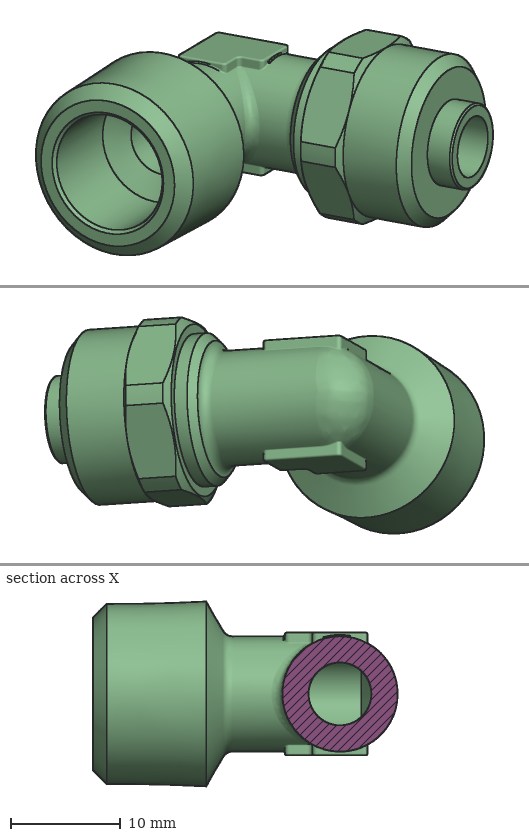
import cadquery as cq
import math

overall_length = 33.93
thread_big_diameter = 16.85

arm_radius = 5.25
outer_elbow_radius = 4.0
inner_elbow_radius = 1.0
neck_radius = 1.0
mitre_core_height = 4.92

thread_end = 22.5
thread_start = 12.18
thread_big_radius = thread_big_diameter / 2
thread_small_radius = 8.2
thread_chamfer = 1.25
shoulder_angle = math.radians(60)

collar_radius = 7.0
collar_start = 9.98
collar_chamfer = 0.75
nut_start = 11.95
nut_end = 16.45
nut_half_flats = 8.0
nut_corner_radius = 8.75
nut_face_radius = 7.87
nut_chamfer_angle = math.radians(30)
sleeve_end = 23.0
sleeve_chamfer = 1.02
stub_radius = 4.0
stub_end = overall_length - thread_big_radius
stub_chamfer = 0.17

mouth_radius = 5.5
mouth_chamfer = 0.3
run_bore_radius = 3.25
tube_bore_radius = 2.85
drill_tip = 3.8
drill_half_angle = math.radians(60)
mouth_floor = -13.57

pad_top = 5.6
pad_root = 3.4
pad_back = 2.5
pad_front = 5.02
pad_corner_radius = 0.4
pad_edge_radius = 0.185
pad_joint_radius = 0.15


def turned_about_x(outline):
    """Close an (x, radius) outline and turn it about the X axis."""
    return outline.close().revolve(360, (0, 0, 0), (1, 0, 0))


def turned_about_y(outline):
    """Close a (radius, y) outline and turn it about the Y axis."""
    return outline.close().revolve(360, (0, 0, 0), (0, 1, 0))


def make_mitred_arms():
    """Two round arms cut and joined on the diagonal plane x = -y."""
    x_arm = cq.Workplane("YZ", origin=(-arm_radius, 0, 0)).circle(arm_radius).extrude(arm_radius + collar_start)
    y_arm = cq.Workplane("XZ", origin=(0, arm_radius, 0)).circle(arm_radius).extrude(arm_radius + thread_start)
    x_side = (
        cq.Workplane("XY")
        .polyline([(-stub_end, stub_end), (stub_end, stub_end), (stub_end, -stub_end)])
        .close()
        .extrude(stub_end, both=True)
    )
    return x_arm.intersect(x_side).union(y_arm.cut(x_side))


def make_elbow():
    """Mitred arms with the mitre rounded on the outside and the inside of the bend."""
    arms = make_mitred_arms()
    core_box = cq.Workplane("XY").box(2 * stub_end, 2 * stub_end, 2 * mitre_core_height)
    core = arms.intersect(core_box)
    core = core.edges("%ELLIPSE").edges("<X").fillet(outer_elbow_radius)
    core = core.edges("%ELLIPSE").edges(">X").fillet(inner_elbow_radius)
    return core.union(arms.cut(core_box))


def make_pad():
    """L-shaped block with rounded corners and a rounded top edge."""
    outline = [
        (-pad_back, pad_back),
        (pad_front, pad_back),
        (pad_front, -pad_back),
        (pad_back, -pad_back),
        (pad_back, -pad_front),
        (-pad_back, -pad_front),
    ]
    pad = cq.Workplane("XY", origin=(0, 0, pad_root)).polyline(outline).close().extrude(pad_top - pad_root)
    pad = pad.edges("|Z").fillet(pad_corner_radius)
    return pad.faces(">Z").edges().fillet(pad_edge_radius)


def add_pads(elbow):
    """Join a pad to the top and the bottom of the elbow and round the joints."""
    pad = make_pad()
    body = elbow.union(pad).union(pad.mirror("XY"))
    margin = 0.05
    low, high = -pad_back - margin, pad_front + margin
    for side in (1, -1):
        joint_box = cq.selectors.BoxSelector(
            (low, -high, side * pad_root),
            (high, -low, side * (arm_radius + margin)),
            boundingbox=True,
        )
        body = body.edges("not |Z").edges(joint_box).fillet(pad_joint_radius)
    return body


def make_threaded_end():
    """Neck fillet, conical shoulder, tapered thread blank and end chamfer."""
    flare_radius = arm_radius + neck_radius * (1 - math.cos(shoulder_angle))
    flare_y = -thread_start + (thread_big_radius - flare_radius) / math.tan(shoulder_angle)
    neck_y = flare_y + neck_radius * math.sin(shoulder_angle)
    mid_angle = shoulder_angle / 2
    neck_mid = (
        arm_radius + neck_radius * (1 - math.cos(mid_angle)),
        neck_y - neck_radius * math.sin(mid_angle),
    )
    return turned_about_y(
        cq.Workplane("XY")
        .moveTo(0, neck_y)
        .lineTo(arm_radius, neck_y)
        .threePointArc(neck_mid, (flare_radius, flare_y))
        .lineTo(thread_big_radius, -thread_start)
        .lineTo(thread_small_radius, thread_chamfer - thread_end)
        .lineTo(thread_small_radius - thread_chamfer, -thread_end)
        .lineTo(0, -thread_end)
    )


def make_tube_end():
    """Neck fillet, collar, sleeve and stub turned as one piece."""
    lip_radius = arm_radius + neck_radius
    neck_x = collar_start - neck_radius
    neck_mid = (
        neck_x + neck_radius * math.sin(math.pi / 4),
        lip_radius - neck_radius * math.cos(math.pi / 4),
    )
    return turned_about_x(
        cq.Workplane("XY")
        .moveTo(neck_x, 0)
        .lineTo(neck_x, arm_radius)
        .threePointArc(neck_mid, (collar_start, lip_radius))
        .lineTo(collar_start + collar_chamfer, collar_radius)
        .lineTo(nut_end, collar_radius)
        .lineTo(nut_end, nut_half_flats)
        .lineTo(sleeve_end - sleeve_chamfer, nut_half_flats)
        .lineTo(sleeve_end, nut_half_flats - sleeve_chamfer)
        .lineTo(sleeve_end, stub_radius)
        .lineTo(stub_end - stub_chamfer, stub_radius)
        .lineTo(stub_end, stub_radius - stub_chamfer)
        .lineTo(stub_end, 0)
    )


def make_nut():
    """Hexagon with flats facing +-Z, its corners turned round and chamfered at both ends."""
    hexagon = (
        cq.Workplane("YZ", origin=(nut_start, 0, 0))
        .polygon(6, 2 * nut_half_flats / math.cos(math.pi / 6))
        .extrude(nut_end - nut_start)
    )
    start_chamfer = (nut_corner_radius - nut_face_radius) * math.tan(nut_chamfer_angle)
    end_chamfer = (nut_corner_radius - nut_half_flats) * math.tan(nut_chamfer_angle)
    envelope = turned_about_x(
        cq.Workplane("XY")
        .moveTo(nut_start, 0)
        .lineTo(nut_start, nut_face_radius)
        .lineTo(nut_start + start_chamfer, nut_corner_radius)
        .lineTo(nut_end - end_chamfer, nut_corner_radius)
        .lineTo(nut_end, nut_half_flats)
        .lineTo(nut_end, 0)
    )
    return hexagon.intersect(envelope)


def make_bores():
    """Stepped drilled bore from -Y meeting the tube bore from +X."""
    cone_slope = 1 / math.tan(drill_half_angle)
    step_y = mouth_floor + (mouth_radius - run_bore_radius) * cone_slope
    run_bore = turned_about_y(
        cq.Workplane("XY")
        .moveTo(0, -thread_end)
        .lineTo(mouth_radius + mouth_chamfer, -thread_end)
        .lineTo(mouth_radius, mouth_chamfer - thread_end)
        .lineTo(mouth_radius, mouth_floor)
        .lineTo(run_bore_radius, step_y)
        .lineTo(run_bore_radius, drill_tip - run_bore_radius * cone_slope)
        .lineTo(0, drill_tip)
    )
    tube_bore = cq.Workplane("YZ").circle(tube_bore_radius).extrude(stub_end)
    return run_bore.union(tube_bore)


result = (
    add_pads(make_elbow())
    .union(make_threaded_end())
    .union(make_tube_end())
    .union(make_nut())
    .cut(make_bores())
)